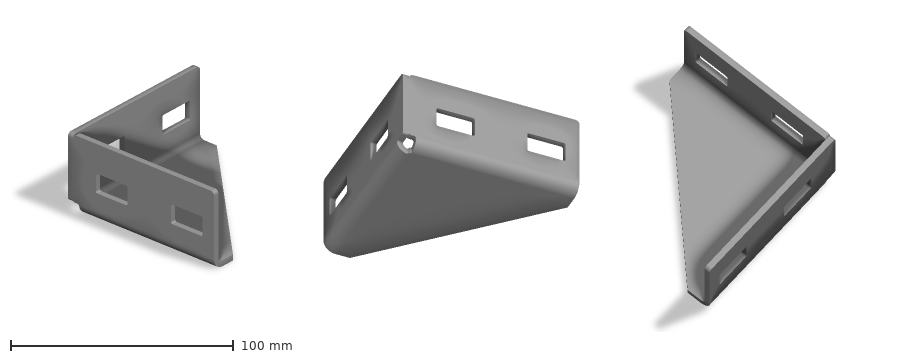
import cadquery as cq

leg_length = 87.0
wall_height = 40.0
thickness = 3.0
bend_radius = 5.65
wall_gap = 0.1
base_end_width = 13.0
corner_radius = 2.0
lower_corner_radius = 1.05
relief_end = 6.6
relief_radius = 1.05
slot_length = 18.9
slot_height = 10.0
slot_radius = 1.0
slot_centers = (26.0, 70.7)
slot_center_z = wall_height / 2


def box(x_range, y_range, z_range):
    """Make a box from its lower and upper limits along each axis."""
    sizes = [high - low for low, high in (x_range, y_range, z_range)]
    corner = (x_range[0], y_range[0], z_range[0])
    return cq.Workplane("XY").box(*sizes, centered=False).translate(corner)


def make_wall(start):
    """Make a slotted wall along Y, with its outer face at X = 0."""
    wall = box((0, thickness), (start, leg_length), (bend_radius, wall_height))
    wall = wall.edges("|X and >Z").fillet(corner_radius)
    wall = wall.edges("|X and <Z and <Y").fillet(lower_corner_radius)
    slots = (
        cq.Workplane("YZ")
        .pushPoints([(center, slot_center_z) for center in slot_centers])
        .rect(slot_length, slot_height)
        .extrude(thickness)
        .edges("|X")
        .fillet(slot_radius)
    )
    return wall.cut(slots)


def make_bend():
    """Make the quarter-round bend along Y, with its rounded relief."""
    start = relief_end - relief_radius
    arc_center = (bend_radius, start, bend_radius)
    inner_radius = bend_radius - thickness
    length = leg_length - start
    along_y = cq.Vector(0, 1, 0)
    outer = cq.Workplane(cq.Solid.makeCylinder(bend_radius, length, cq.Vector(*arc_center), along_y))
    inner = cq.Workplane(cq.Solid.makeCylinder(inner_radius, length, cq.Vector(*arc_center), along_y))
    quarter = box((0, bend_radius), (start, leg_length), (0, bend_radius))
    bend = outer.cut(inner).intersect(quarter)

    reach = bend_radius - relief_radius
    opening = box((0, reach), (start, relief_end), (0, reach))
    wall_rounding = cq.Workplane("YZ").center(start, reach).circle(relief_radius).extrude(reach)
    base_rounding = cq.Workplane("XY").center(reach, start).circle(relief_radius).extrude(reach)
    return bend.cut(opening).cut(wall_rounding).cut(base_rounding)


def make_base():
    """Make the flat base with its corner cut off diagonally."""
    return (
        cq.Workplane("XY")
        .moveTo(bend_radius, bend_radius)
        .lineTo(leg_length, bend_radius)
        .lineTo(leg_length, base_end_width)
        .lineTo(base_end_width, leg_length)
        .lineTo(bend_radius, leg_length)
        .close()
        .extrude(thickness)
    )


def swap_x_and_y(body):
    """Mirror a body across the vertical plane X = Y."""
    return body.mirror("YZ").rotate((0, 0, 0), (0, 0, 1), -90)


left_wall = make_wall(0)
front_wall = swap_x_and_y(make_wall(thickness + wall_gap))
left_bend = make_bend()
front_bend = swap_x_and_y(left_bend)

result = make_base().union(left_bend).union(front_bend).union(left_wall).union(front_wall)